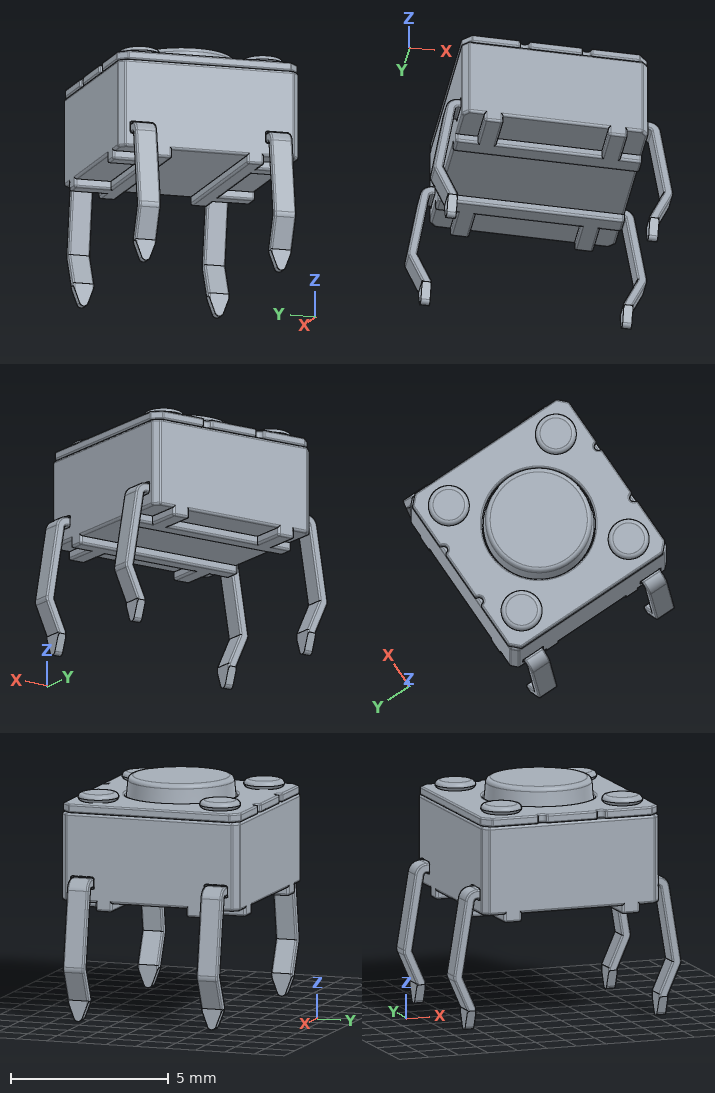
import cadquery as cq
import math


body_size = 6.0
body_top = 3.12
body_floor = 0.27
body_chamfer = 0.2
body_edge_radius = 0.08

channel_half_width = 1.25
x_rib_outer = 1.8
y_rib_inner = 1.7
y_rib_outer = 2.3
rib_edge_radius = 0.07

cover_top = 3.4
cover_chamfer = 0.3
cover_edge_radius = 0.05
button_hole_diameter = 3.6
notch_radius = 0.14
notch_depth = 0.17
notch_pitch = 2.0

button_top = 4.0
button_diameter = 3.38
button_base_diameter = 3.52
button_edge_radius = 0.15

rivet_pitch = 4.1
rivet_head_diameter = 1.3
rivet_base_diameter = 0.95
rivet_top = 3.67
rivet_top_radius = 0.15
rivet_underside_radius = 0.16

overall_x = 7.7
pin_pitch_x = 6.5
pin_pitch_y = 4.5
pin_width = 0.7
pin_thickness = 0.3
pin_top = 1.05
pin_root_depth = 0.5
pin_tip_z = -3.5
pin_edge_radius = 0.05
shoulder_inner_radius = 0.1
shoulder_x = -3.06
knee_z = -1.74
ankle_z = -2.76
taper_top_z = -2.85
tip_radius = 0.15
slot_clearance = 0.05
slot_depth = 0.1
slot_corner_radius = 0.08


def build_body():
    """Chamfered housing standing on four pairs of crossed ribs."""
    half = body_size / 2
    body = (
        cq.Workplane("XY", origin=(0, 0, body_floor))
        .rect(body_size, body_size)
        .extrude(body_top - body_floor)
        .edges("|Z").chamfer(body_chamfer)
        .edges().fillet(body_edge_radius)
    )
    x_rib_width = x_rib_outer - channel_half_width
    y_rib_width = y_rib_outer - y_rib_inner
    y_rib_length = half - channel_half_width
    rib_overlap = 2 * body_edge_radius
    rib_height = body_floor + rib_overlap
    ribs = cq.Workplane("XY")
    for side in (-1, 1):
        x_rib = (
            cq.Workplane("XY")
            .center(0, side * (channel_half_width + x_rib_outer) / 2)
            .rect(body_size, x_rib_width)
            .extrude(rib_height)
            .edges("|Z or <Z").fillet(rib_edge_radius)
        )
        ribs = ribs.union(x_rib)
        for end in (-1, 1):
            y_rib = (
                cq.Workplane("XY")
                .center(end * (y_rib_inner + y_rib_outer) / 2, side * (channel_half_width + half) / 2)
                .rect(y_rib_width, y_rib_length)
                .extrude(rib_height)
                .edges("|Z or <Z").fillet(rib_edge_radius)
            )
            ribs = ribs.union(y_rib)
    return body.union(ribs)


def build_cover():
    """Cover plate with the button hole and edge notches."""
    cover = (
        cq.Workplane("XY", origin=(0, 0, body_top))
        .rect(body_size, body_size)
        .extrude(cover_top - body_top)
        .edges("|Z").chamfer(cover_chamfer)
    )
    notch_y = body_size / 2 - notch_depth + notch_radius
    notches = (
        cq.Workplane("XY", origin=(0, 0, body_top))
        .rect(notch_pitch, 2 * notch_y, forConstruction=True)
        .vertices()
        .circle(notch_radius)
        .extrude(cover_top - body_top)
    )
    hole = (
        cq.Workplane("XY", origin=(0, 0, body_top))
        .circle(button_hole_diameter / 2)
        .extrude(cover_top - body_top)
    )
    plate = cover.cut(notches).edges().fillet(cover_edge_radius).cut(hole)
    rim = cq.selectors.RadiusNthSelector(-1)
    return plate.faces(">Z").edges("%CIRCLE").edges(rim).fillet(cover_edge_radius)


def build_button():
    """Slightly tapered round button with a rounded rim."""
    radius = button_diameter / 2
    return (
        cq.Workplane("XZ")
        .moveTo(0, body_top)
        .lineTo(button_base_diameter / 2, body_top)
        .lineTo(radius, button_top - button_edge_radius)
        .radiusArc((radius - button_edge_radius, button_top), -button_edge_radius)
        .lineTo(0, button_top)
        .close()
        .revolve(360, (0, 0, 0), (0, 1, 0))
    )


def build_rivets():
    """Four button-shaped rivet heads seated on the cover."""
    head_radius = rivet_head_diameter / 2
    rounding_z = rivet_top - rivet_top_radius
    rivet = (
        cq.Workplane("XZ")
        .moveTo(0, body_top)
        .lineTo(rivet_base_diameter / 2, body_top)
        .lineTo(rivet_base_diameter / 2, cover_top)
        .radiusArc((head_radius, rounding_z), -rivet_underside_radius)
        .radiusArc((head_radius - rivet_top_radius, rivet_top), -rivet_top_radius)
        .lineTo(0, rivet_top)
        .close()
        .revolve(360, (0, 0, 0), (0, 1, 0))
        .val()
    )
    return (
        cq.Workplane("XY")
        .rect(rivet_pitch, rivet_pitch, forConstruction=True)
        .vertices()
        .eachpoint(lambda place: rivet.moved(place), combine=True)
    )


def bend_point(center, radius, angle):
    """Point on a pin bend; the angle rises from the -X direction."""
    return (center[0] - radius * math.cos(angle), center[1] + radius * math.sin(angle))


def build_pin_strip():
    """Bent strip of the pin on the -X side, centred on Y = 0."""
    shoulder_outer_radius = shoulder_inner_radius + pin_thickness
    shoulder = (shoulder_x, pin_top - shoulder_outer_radius)
    knee = (pin_thickness - overall_x / 2, knee_z)
    tip_outer_x = -(pin_pitch_x + pin_thickness) / 2
    tip_inner_x = tip_outer_x + pin_thickness
    root_x = pin_root_depth - body_size / 2

    level = math.pi / 2
    run = shoulder[0] - knee[0]
    rise = shoulder[1] - knee[1]
    leg = math.atan2(run, rise) - math.asin(shoulder_inner_radius / math.hypot(run, rise))
    shank = -math.atan2(tip_inner_x - knee[0], knee_z - ankle_z)
    ankle_outer_z = ankle_z + pin_thickness * math.tan(shank / 2)

    return (
        cq.Workplane("XZ")
        .moveTo(root_x, pin_top)
        .lineTo(*bend_point(shoulder, shoulder_outer_radius, level))
        .threePointArc(
            bend_point(shoulder, shoulder_outer_radius, (level + leg) / 2),
            bend_point(shoulder, shoulder_outer_radius, leg),
        )
        .lineTo(*bend_point(knee, pin_thickness, leg))
        .threePointArc(
            bend_point(knee, pin_thickness, (leg + shank) / 2),
            bend_point(knee, pin_thickness, shank),
        )
        .lineTo(tip_outer_x, ankle_outer_z)
        .lineTo(tip_outer_x, pin_tip_z)
        .lineTo(tip_inner_x, pin_tip_z)
        .lineTo(tip_inner_x, ankle_z)
        .lineTo(*knee)
        .lineTo(*bend_point(shoulder, shoulder_inner_radius, leg))
        .threePointArc(
            bend_point(shoulder, shoulder_inner_radius, (level + leg) / 2),
            bend_point(shoulder, shoulder_inner_radius, level),
        )
        .lineTo(root_x, pin_top - pin_thickness)
        .close()
        .extrude(pin_width / 2, both=True)
        .faces("<Y or >Y").edges().fillet(pin_edge_radius)
    )


def build_pin():
    """Pin strip with its lower end tapered to a round nose."""
    half = pin_width / 2
    nose_z = pin_tip_z + tip_radius
    drop = taper_top_z - nose_z
    taper = math.atan2(half, drop) - math.asin(tip_radius / math.hypot(half, drop))
    tangent_y = tip_radius * math.cos(taper)
    tangent_z = nose_z - tip_radius * math.sin(taper)
    blade = (
        cq.Workplane("YZ")
        .moveTo(-half, pin_top)
        .lineTo(-half, taper_top_z)
        .lineTo(-tangent_y, tangent_z)
        .threePointArc((0, pin_tip_z), (tangent_y, tangent_z))
        .lineTo(half, taper_top_z)
        .lineTo(half, pin_top)
        .close()
        .extrude(-overall_x / 2)
    )
    return build_pin_strip().intersect(blade)


def build_slot():
    """Cutter for the housing slot round a pin on the -X side."""
    slot_width = pin_width + 2 * slot_clearance
    slot_height = pin_thickness + 2 * slot_clearance
    return (
        cq.Workplane("YZ", origin=(-body_size / 2, 0, pin_top - pin_thickness / 2))
        .rect(slot_width, slot_height)
        .extrude(slot_depth)
        .edges("|X").fillet(slot_corner_radius)
    )


def at_pins(shape):
    """Copies of a -X side shape at all four pin positions."""
    copies = cq.Workplane("XY")
    for turn in (0, 180):
        for side in (-1, 1):
            placed = shape.translate((0, side * pin_pitch_y / 2, 0)).rotate((0, 0, 0), (0, 0, 1), turn)
            copies = copies.union(placed)
    return copies


result = (
    build_body()
    .cut(at_pins(build_slot()))
    .union(build_cover())
    .union(build_button())
    .union(build_rivets())
    .union(at_pins(build_pin()))
)